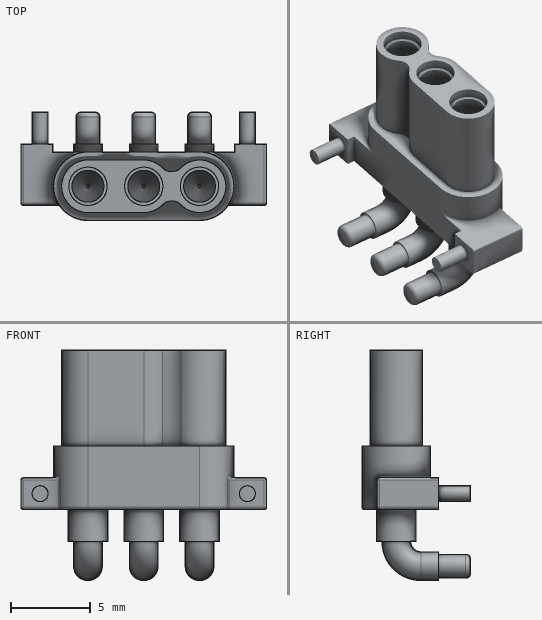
import cadquery as cq
import math


contact_pitch = 3.5
contact_places = [-contact_pitch, 0, contact_pitch]
ear_pin_places = [-6.5, 6.5]
edge_radius = 0.15

base_radius = 2.15
base_height = 4.0

ear_span = 15.4
ear_height = 2.0
ear_front = -1.2
ear_back = base_radius + 0.5
ear_block_length = 2.0
ear_step_x = ear_span / 2 - ear_block_length

shroud_radius = 1.65
shroud_height = 6.0
neck_radius = 0.8
housing_top = base_height + shroud_height

barrel_diameter = 2.4
barrel_recess = 0.6
barrel_top = housing_top - barrel_recess
socket_diameter = 2.0
socket_depth = 5.0
socket_tip_diameter = 0.2
socket_tip_angle = 118.0
collar_diameter = 2.5
collar_height = 2.0
tail_diameter = 1.8
bend_radius = 1.55
solder_tip_diameter = 1.5
solder_tip_radius = 0.3

pin_reach = 2.0
tip_end = ear_back + pin_reach
ear_pin_diameter = 1.0
ear_pin_height = ear_height / 2


def shroud_outline():
    """Shroud outline, its neck arcs tangent to the circles around the contacts on either side."""
    neck_x = contact_pitch / 2
    center_distance = shroud_radius + neck_radius
    neck_center_y = math.sqrt(center_distance**2 - neck_x**2)
    neck_y = neck_center_y - neck_radius
    touch_x = neck_x * shroud_radius / center_distance
    touch_y = neck_center_y * shroud_radius / center_distance
    half_angle = math.atan2(neck_center_y, neck_x) / 2 + math.pi / 4
    shoulder_x = shroud_radius * math.cos(half_angle)
    shoulder_y = shroud_radius * math.sin(half_angle)
    return (
        cq.Workplane("XY", origin=(0, 0, base_height))
        .moveTo(-contact_pitch, shroud_radius)
        .lineTo(0, shroud_radius)
        .threePointArc((shoulder_x, shoulder_y), (touch_x, touch_y))
        .threePointArc((neck_x, neck_y), (contact_pitch - touch_x, touch_y))
        .threePointArc((contact_pitch + shroud_radius, 0), (contact_pitch - touch_x, -touch_y))
        .threePointArc((neck_x, -neck_y), (touch_x, -touch_y))
        .threePointArc((shoulder_x, -shoulder_y), (0, -shroud_radius))
        .lineTo(-contact_pitch, -shroud_radius)
        .threePointArc((-contact_pitch - shroud_radius, 0), (-contact_pitch, shroud_radius))
        .close()
    )


def make_base():
    """Base and ears with rounded edges and joints, leaving the back edges sharp."""
    bar = cq.Workplane("XY").box(
        ear_span, ear_back - ear_front, ear_height, centered=(True, True, False)
    ).translate((0, (ear_back + ear_front) / 2, 0))
    block = (
        cq.Workplane("XY")
        .slot2D(2 * (contact_pitch + base_radius), 2 * base_radius)
        .extrude(base_height)
        .union(bar)
    )

    below_ear_top = cq.selectors.BoxSelector(
        (-ear_span, -ear_span, -edge_radius),
        (ear_span, ear_span, ear_height + edge_radius),
        boundingbox=True,
    )
    block = block.edges(below_ear_top).edges("not >Y").fillet(edge_radius)

    step = cq.Workplane("XY").box(
        2 * ear_step_x, ear_back - base_radius, ear_height + edge_radius, centered=(True, False, False)
    ).translate((0, base_radius, 0))
    return block.cut(step)


def make_housing():
    housing = make_base().union(shroud_outline().extrude(shroud_height))
    contact_holes = (
        cq.Workplane("XY")
        .pushPoints([(x, 0) for x in contact_places])
        .circle(barrel_diameter / 2)
        .extrude(housing_top)
    )
    ear_pin_holes = (
        cq.Workplane("XZ", origin=(0, tip_end, 0))
        .pushPoints([(x, ear_pin_height) for x in ear_pin_places])
        .circle(ear_pin_diameter / 2)
        .extrude(tip_end - ear_front)
    )
    return housing.cut(contact_holes).cut(ear_pin_holes)


def make_contact(x):
    """Socket barrel and collar on a tail that bends back to a thinner solder tip."""
    upright = (
        cq.Workplane("XY", origin=(x, 0, -collar_height))
        .circle(collar_diameter / 2)
        .extrude(collar_height)
        .faces(">Z")
        .workplane()
        .circle(barrel_diameter / 2)
        .extrude(barrel_top)
    )

    socket_radius = socket_diameter / 2
    tip_radius = socket_tip_diameter / 2
    cone_depth = (socket_radius - tip_radius) / math.tan(math.radians(socket_tip_angle / 2))
    socket_floor = barrel_top - socket_depth
    socket = (
        cq.Workplane("XZ", origin=(x, 0, 0))
        .moveTo(0, barrel_top)
        .lineTo(socket_radius, barrel_top)
        .lineTo(socket_radius, socket_floor)
        .lineTo(tip_radius, socket_floor - cone_depth)
        .lineTo(0, socket_floor - cone_depth)
        .close()
        .revolve(360, (0, 0), (0, 1))
    )

    tail_z = -collar_height - bend_radius
    bend = (
        cq.Workplane("XY", origin=(x, 0, -collar_height))
        .circle(tail_diameter / 2)
        .revolve(90, (0, bend_radius), (1, bend_radius))
    )
    run = (
        cq.Workplane("XZ", origin=(x, ear_back, tail_z))
        .circle(tail_diameter / 2)
        .extrude(ear_back - bend_radius)
    )
    solder_tip = (
        cq.Workplane("XZ", origin=(x, tip_end, tail_z))
        .circle(solder_tip_diameter / 2)
        .extrude(pin_reach)
        .faces(">Y")
        .edges()
        .fillet(solder_tip_radius)
    )
    return upright.cut(socket).union(bend).union(run).union(solder_tip)


def make_ear_pin(x):
    """Plain pin through an ear, flush with its front face."""
    return (
        cq.Workplane("XZ", origin=(x, tip_end, ear_pin_height))
        .circle(ear_pin_diameter / 2)
        .extrude(tip_end - ear_front)
    )


housing = make_housing()
contacts = [make_contact(x) for x in contact_places]
ear_pins = [make_ear_pin(x) for x in ear_pin_places]

result = cq.Compound.makeCompound([
    housing.val(),
    *[contact.val() for contact in contacts],
    *[pin.val() for pin in ear_pins],
])